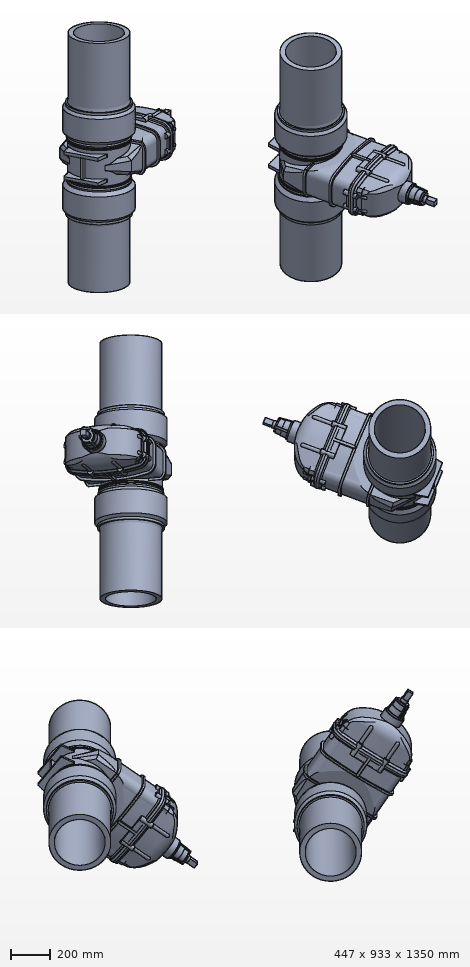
import cadquery as cq
import math


length = 1350.0
clearance = 14.0
bore_d = 258.0
pipe_r = 315.0 / 2
coupling_r = 369.0 / 2
barrel_r = 160.0
bead_r = 165.0
bead_z = 97.0
groove_z = 104.0
collar_z = 108.0
collar_top_z = 127.0
collar_r = 167.0
coupling_z = 147.0
coupling_top_z = 274.0
lip_r = 170.0
lip_z = 289.0
lip_top_z = 302.0
seal_r = 160.0
seal_top_z = 317.0

housing_half_x = 207.0
housing_half_z = 105.0
roof_edge_x = 160.0
roof_drop = 18.0
side_flat_half_z = 43.0

taper_start_y = 239.0
taper_slope = 0.2
wedge_y = -36.0
wedge_tip_x = 103.0
wedge_tip_y = -124.0
shoulder_bevel = ((207.0, 14.0, 43.0), (193.0, 14.0, 57.0), (207.0, -39.0, 28.0))
tip_bevel = ((204.0, -39.0, 28.0), (142.0, -75.0, 42.0), (103.0, -124.0, 14.0))
parting_y = 369.0
flange_half_thick = 14.0
flange_width = 447.0
flange_reach = flange_width / 2 - housing_half_x
flange_draft = 3.0
shoulder_thick = 11.0
shoulder_reach = 10.0
skirt_thick = 8.0
skirt_reach = 5.0

rib_reach = 12.0
rib_thick = 12.0
centre_rib_reach = 15.0
upper_rib_y = 245.0
lower_rib_y = 90.0
centre_rib_width = 15.0

bonnet_half_x = 202.0
bonnet_half_z = 104.0
crown_y = 556.0
crown_edge_x = 140.0
crown_edge_y = 515.0
crown_side_y = 405.0
crown_bevel_z = 70.0
crown_bevel_angle = 40.0
brow_y = 487.0
brow_mid = (529.0, 90.0)
brow_end_z = 57.0
skirt_box_top_y = 421.0
skirt_box_half_z = 84.0
skirt_box_chamfer = 16.0

bolt_r = 15.0
bolt_x = 80.0
bolt_z = 43.0
bolt_top_y = 401.0
bolt_bottom_y = 324.0
broad_bolt_z = 105.0
side_bolt_x = 207.0
broad_fin_r = 12.0
broad_fin_z = 93.0
broad_fin_top_y = 497.0
side_fin_r = 11.0
side_fin_x = 193.0
side_fin_top_y = 440.0
bridge_rise = 12.0
side_bridge_y = 343.0

neck_r = 57.0
neck_top_y = 594.0
gland_foot_r = 50.0
gland_foot_top_y = 603.0
gland_base_r = 45.0
gland_top_r = 39.0
gland_step_y = 636.0
gland_step_r = 40.0
gland_step = 2.0
gland_shoulder_y = 665.0
gland_cap_r = 34.0
gland_top_y = 675.0
fin_count = 3
fin_width = 12.0
fin_base_r = 50.0
fin_top_r = 43.0
stem_d = 40.0
stem_step_y = 693.0
stem_square = 30.0
stem_end_y = 740.0

foot_z = 68.0
foot_thick = 18.0
foot_back_y = -119.0
foot_front_y = -193.0
foot_back_half_x = 112.0
foot_front_half_x = 99.0
web_thick = 14.0
web_front_y = -185.0


def cross_plane(y):
    """Plane across the stem axis, facing +Y."""
    return cq.Plane(origin=(0, y, 0), xDir=(1, 0, 0), normal=(0, 1, 0))


def section(workplane, half_x, half_z):
    """Flattened housing section: two shallow roof arcs, rounded corners and flat sides."""
    edge_x = roof_edge_x + half_x - housing_half_x
    edge_z = half_z - roof_drop
    run = half_x - edge_x
    rise = edge_z - side_flat_half_z
    corner_r = (run**2 + rise**2) / (2 * run)
    half_sweep = math.atan2(run, rise)
    mid_x = half_x - corner_r * (1 - math.cos(half_sweep))
    mid_z = side_flat_half_z + corner_r * math.sin(half_sweep)
    return (
        workplane.moveTo(half_x, -side_flat_half_z)
        .lineTo(half_x, side_flat_half_z)
        .threePointArc((mid_x, mid_z), (edge_x, edge_z))
        .threePointArc((0, half_z), (-edge_x, edge_z))
        .threePointArc((-mid_x, mid_z), (-half_x, side_flat_half_z))
        .lineTo(-half_x, -side_flat_half_z)
        .threePointArc((-mid_x, -mid_z), (-edge_x, -edge_z))
        .threePointArc((0, -half_z), (edge_x, -edge_z))
        .threePointArc((mid_x, -mid_z), (half_x, -side_flat_half_z))
        .close()
    )


def prism(y0, y1, half_x, half_z):
    return section(cq.Workplane(cross_plane(y0)), half_x, half_z).extrude(y1 - y0)


def housing_prism(y0, y1, reach=0.0):
    return prism(y0, y1, housing_half_x + reach, housing_half_z + reach)


def tapered_band(y0, reach0, y1, reach1):
    """Band around the housing whose reach changes from reach0 to reach1."""
    band = section(cq.Workplane(cross_plane(y0)), housing_half_x + reach0, housing_half_z + reach0)
    band = band.workplane(offset=y1 - y0)
    return section(band, housing_half_x + reach1, housing_half_z + reach1).loft(ruled=True)


def rod(y0, y1, radius, x, z):
    """Cylinder along Y."""
    return cq.Workplane("XY").add(
        cq.Solid.makeCylinder(radius, y1 - y0, cq.Vector(x, y0, z), cq.Vector(0, 1, 0))
    )


def block(x_size, y0, y1, z_size):
    """Box centred on the stem axis."""
    return cq.Workplane(cross_plane(y0)).rect(x_size, z_size).extrude(y1 - y0)


def pipe_run():
    half = [
        (barrel_r, bead_z),
        (bead_r, bead_z),
        (bead_r, groove_z),
        (barrel_r, groove_z),
        (barrel_r, collar_z),
        (bead_r, collar_z),
        (collar_r, (collar_z + collar_top_z) / 2),
        (bead_r, collar_top_z),
        (coupling_r, coupling_z),
        (coupling_r, coupling_top_z),
        (lip_r, lip_z),
        (lip_r, lip_top_z),
        (seal_r, lip_top_z),
        (pipe_r, seal_top_z),
        (pipe_r, length / 2),
    ]
    upper = half[::-1]
    lower = [(r, -z) for r, z in half]
    profile = [(0, length / 2), *upper, *lower, (0, -length / 2)]
    return cq.Workplane("XZ").polyline(profile).close().revolve(360, (0, 0, 0), (0, 1, 0))


def taper_wedge(reach=0.0):
    """Side profile of the housing, thinning towards -Y, raised by reach."""
    y_end = wedge_tip_y - clearance
    z_top = housing_half_z + reach
    z_end = z_top - taper_slope * (taper_start_y - y_end)
    z_free = z_top + clearance
    outline = [
        (y_end, -z_end),
        (taper_start_y, -z_top),
        (taper_start_y, -z_free),
        (parting_y, -z_free),
        (parting_y, z_free),
        (taper_start_y, z_free),
        (taper_start_y, z_top),
        (y_end, z_end),
    ]
    half_width = housing_half_x + reach + clearance
    return cq.Workplane("YZ").polyline(outline).close().extrude(half_width, both=True)


def half_space(origin, along, across):
    """Large block lying outside the plane through three points."""
    start = cq.Vector(*origin)
    x_dir = cq.Vector(*along) - start
    normal = x_dir.cross(cq.Vector(*across) - start)
    return cq.Workplane(cq.Plane(start, x_dir, normal)).rect(length, length).extrude(length / 2)


def housing():
    outline = [
        (housing_half_x, parting_y),
        (housing_half_x, wedge_y),
        (wedge_tip_x, wedge_tip_y),
        (-wedge_tip_x, wedge_tip_y),
        (-housing_half_x, wedge_y),
        (-housing_half_x, parting_y),
    ]
    plan = cq.Workplane("XY").polyline(outline).close().extrude(housing_half_z + clearance, both=True)
    body = housing_prism(wedge_tip_y, parting_y).intersect(taper_wedge()).intersect(plan)
    for bevel in (half_space(*shoulder_bevel), half_space(*tip_bevel)):
        for mirrored in (bevel, bevel.mirror("YZ")):
            body = body.cut(mirrored).cut(mirrored.mirror("XY"))
    return body


def housing_ribs():
    half = rib_thick / 2
    upper = housing_prism(upper_rib_y - half, upper_rib_y + half, rib_reach)
    lower = housing_prism(lower_rib_y - half, lower_rib_y + half, rib_reach)
    lower = lower.intersect(taper_wedge(rib_reach))
    centre = block(centre_rib_width, upper_rib_y, parting_y, 2 * (housing_half_z + centre_rib_reach))
    return upper.union(lower).union(centre)


def flange():
    top_y = parting_y + flange_half_thick
    bottom_y = parting_y - flange_half_thick
    rim = flange_reach - flange_draft
    lower = tapered_band(bottom_y, rim, parting_y, flange_reach)
    upper = tapered_band(parting_y, flange_reach, top_y, rim)
    shoulder = tapered_band(top_y, shoulder_reach, top_y + shoulder_thick, 0)
    skirt = tapered_band(bottom_y - skirt_thick, 0, bottom_y, skirt_reach)
    return lower.union(upper).union(shoulder).union(skirt)


def bonnet_plan(z):
    """Plan outline of the bonnet: a shallow crown arc running into two shoulder arcs."""
    base_y = parting_y - bonnet_half_z
    crown_rise = crown_y - crown_edge_y
    crown_r = (crown_edge_x**2 + crown_rise**2) / (2 * crown_rise)
    return (
        cq.Workplane("XY", origin=(0, 0, z))
        .moveTo(bonnet_half_x, base_y)
        .lineTo(bonnet_half_x, crown_side_y)
        .tangentArcPoint((crown_edge_x, crown_edge_y), relative=False)
        .radiusArc((-crown_edge_x, crown_edge_y), -crown_r)
        .tangentArcPoint((-bonnet_half_x, crown_side_y), relative=False)
        .lineTo(-bonnet_half_x, base_y)
        .close()
    )


def bonnet():
    shell = prism(parting_y, crown_y, bonnet_half_x, bonnet_half_z)
    upper_plan = bonnet_plan(0).extrude(crown_bevel_z)
    upper_plan = upper_plan.union(
        bonnet_plan(crown_bevel_z).extrude(bonnet_half_z - crown_bevel_z, taper=crown_bevel_angle)
    )
    plan = upper_plan.union(upper_plan.mirror("XY"))
    brow_mid_y, brow_mid_z = brow_mid
    edge_x = roof_edge_x + bonnet_half_x - housing_half_x
    roof_r = (edge_x**2 + roof_drop**2) / (2 * roof_drop)
    axis_z = bonnet_half_z - roof_r
    brow = (
        cq.Workplane("YZ")
        .moveTo(parting_y, axis_z)
        .lineTo(parting_y, bonnet_half_z)
        .lineTo(brow_y, bonnet_half_z)
        .threePointArc((brow_mid_y, brow_mid_z), (crown_y, brow_end_z))
        .lineTo(crown_y, axis_z)
        .close()
        .revolve(360, (0, axis_z, 0), (1, axis_z, 0))
    )
    skirt_box = block(2 * bonnet_half_x, parting_y, skirt_box_top_y, 2 * skirt_box_half_z)
    skirt_box = skirt_box.edges("|Y").chamfer(skirt_box_chamfer)
    return shell.intersect(plan).intersect(brow).intersect(brow.mirror("XY")).union(skirt_box)


def bolts():
    """Bolt bosses through the flange, their fins on the bonnet and the bridges below."""
    bridge_x = 2 * (housing_half_x + bridge_rise)
    bridge_z = 2 * (housing_half_z + bridge_rise)
    parts = block(2 * bolt_x, bolt_bottom_y, parting_y, bridge_z)
    parts = parts.union(block(bridge_x, side_bridge_y, parting_y, 2 * bolt_z))
    for sx in (-1, 1):
        for sz in (-1, 1):
            parts = parts.union(rod(bolt_bottom_y, bolt_top_y, bolt_r, sx * bolt_x, sz * broad_bolt_z))
            parts = parts.union(rod(bolt_bottom_y, bolt_top_y, bolt_r, sx * side_bolt_x, sz * bolt_z))
            for radius, x, z, top_y in (
                (broad_fin_r, bolt_x, broad_fin_z, broad_fin_top_y),
                (side_fin_r, side_fin_x, bolt_z, side_fin_top_y),
            ):
                fin = rod(parting_y, top_y, radius, sx * x, sz * z)
                tip = cq.Workplane("XY").sphere(radius).translate((sx * x, top_y, sz * z))
                parts = parts.union(fin).union(tip)
    return parts


def gland_and_stem():
    profile = [
        (0, parting_y),
        (neck_r, parting_y),
        (neck_r, neck_top_y),
        (gland_foot_r, neck_top_y),
        (gland_foot_r, gland_foot_top_y),
        (gland_base_r, gland_foot_top_y),
        (gland_step_r + gland_step, gland_step_y),
        (gland_step_r, gland_step_y),
        (gland_top_r, gland_shoulder_y),
        (gland_cap_r, gland_shoulder_y),
        (gland_cap_r, gland_top_y),
        (stem_d / 2, gland_top_y),
        (stem_d / 2, stem_step_y),
        (0, stem_step_y),
    ]
    turned = cq.Workplane("XY").polyline(profile).close().revolve(360, (0, 0, 0), (0, 1, 0))
    fin = (
        cq.Workplane("XY")
        .polyline([(0, neck_top_y), (fin_base_r, neck_top_y), (fin_top_r, gland_top_y), (0, gland_top_y)])
        .close()
        .extrude(fin_width / 2, both=True)
    )
    for i in range(fin_count):
        turned = turned.union(fin.rotate((0, 0, 0), (0, 1, 0), i * 360 / fin_count))
    return turned.union(block(stem_square, stem_step_y, stem_end_y, stem_square))


def feet():
    outline = [
        (-foot_back_half_x, foot_back_y),
        (foot_back_half_x, foot_back_y),
        (foot_front_half_x, foot_front_y),
        (-foot_front_half_x, foot_front_y),
    ]
    plate = cq.Workplane("XY").polyline(outline).close().extrude(foot_thick / 2, both=True)
    web = block(web_thick, web_front_y, foot_back_y, 2 * foot_z)
    return web.union(plate.translate((0, 0, foot_z))).union(plate.translate((0, 0, -foot_z)))


result = pipe_run()
for part in (housing(), housing_ribs(), flange(), bonnet(), bolts(), gland_and_stem(), feet()):
    result = result.union(part)
bore = cq.Workplane("XY").circle(bore_d / 2).extrude(length / 2, both=True)
result = result.cut(bore)